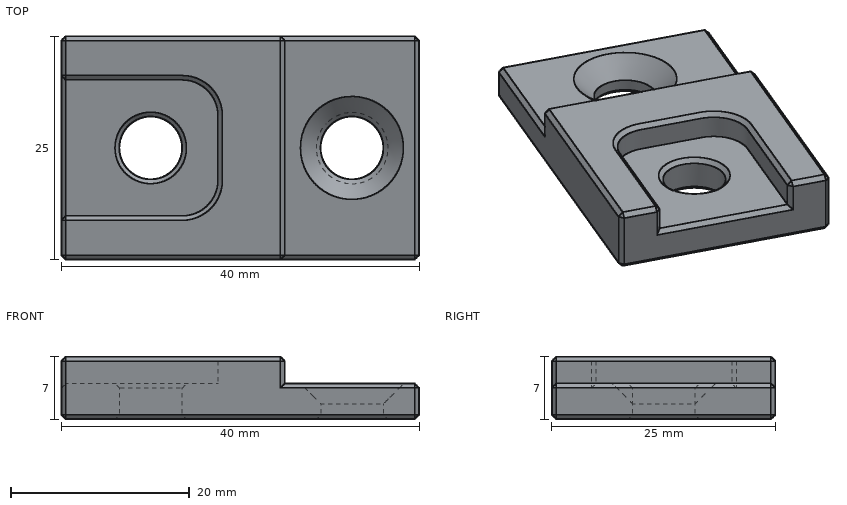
import cadquery as cq

length = 40.0
width = 25.0
height = 7.0
step_x = 25.0
floor_height = 4.0

hole_diameter = 7.0
pocket_hole_x = 10.0
pocket_hole_rim_diameter = 8.0
countersink_diameter = 11.5
countersink_angle = 90.0
countersink_x = (step_x + length) / 2

edge_bevel = (pocket_hole_rim_diameter - hole_diameter) / 2

pocket_length = 17.5
pocket_width = 15.2
pocket_corner_radius = 4.0


def stepped_plate():
    return (
        cq.Workplane("XZ")
        .moveTo(0, 0)
        .lineTo(length, 0)
        .lineTo(length, floor_height)
        .lineTo(step_x, floor_height)
        .lineTo(step_x, height)
        .lineTo(0, height)
        .close()
        .extrude(width / 2, both=True)
    )


def pocket_cutter():
    return (
        cq.Workplane("XY", origin=(0, 0, floor_height))
        .rect(2 * pocket_length, pocket_width)
        .extrude(height - floor_height)
        .edges("|Z")
        .fillet(pocket_corner_radius)
    )


def is_bevelled(edge):
    """True for every edge except the step root, the pocket floor outline and inner verticals."""
    center = edge.Center()
    box = edge.BoundingBox()
    tolerance = 4e-05
    inside_outline = (
        tolerance < center.x < length - tolerance
        and abs(center.y) < width / 2 - tolerance
    )
    on_floor = abs(box.zmin - floor_height) < tolerance and box.zlen < tolerance
    vertical = box.zlen > tolerance
    return not (inside_outline and (on_floor or vertical))


def bevel_edges(body):
    edges = [edge for edge in body.edges().vals() if is_bevelled(edge)]
    return body.newObject(edges).chamfer(edge_bevel)


def countersunk_hole(body, x, rim_diameter):
    return (
        body.copyWorkplane(cq.Workplane("XY", origin=(x, 0, floor_height)))
        .cskHole(hole_diameter, rim_diameter, countersink_angle)
    )


plate = bevel_edges(stepped_plate().cut(pocket_cutter()))
plate = countersunk_hole(plate, pocket_hole_x, pocket_hole_rim_diameter)
plate = countersunk_hole(plate, countersink_x, countersink_diameter)

result = plate.faces("<Z").edges("%CIRCLE").chamfer(edge_bevel)